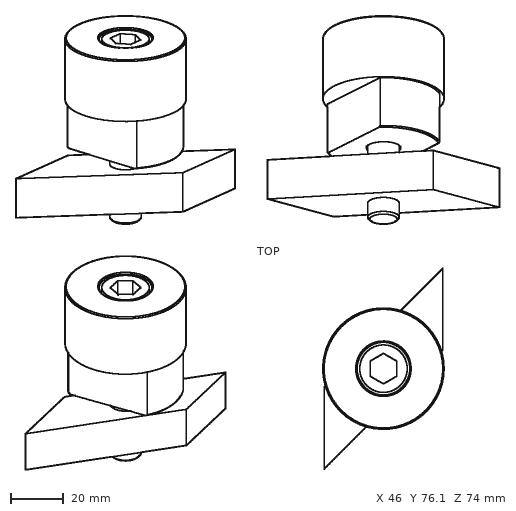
import cadquery as cq
import math

head_height = 25.0
neck_height = 20.0
overall_height = 74.0
nut_top_depth = 51.5
nut_height = 16.0

head_diameter = 46.0
neck_diameter = 44.0
neck_flat_width = 28.0
body_height = head_height + neck_height
edge_chamfer = 0.5

thread_diameter = 12.0
thread_end_chamfer = 0.8
screw_head_diameter = 18.0
screw_head_height = 12.0
screw_head_recess = 0.5
socket_width = 10.0
socket_corner_diameter = socket_width / math.cos(math.pi / 6)
socket_depth = 8.0
socket_tip_angle = 120.0

counterbore_diameter = 20.0
counterbore_depth = screw_head_recess + screw_head_height
clearance_diameter = 13.0

nut_length = 45.0
nut_bar_width = 22.0
nut_skew_angle = 45.0


def disc(diameter, top_z, height):
    """Cylinder on the Z axis that hangs down from top_z."""
    return cq.Workplane("XY").workplane(offset=top_z).circle(diameter / 2).extrude(-height)


def make_clamp_body():
    head = disc(head_diameter, 0, head_height).faces(">Z").edges().chamfer(edge_chamfer)
    neck = disc(neck_diameter, -head_height, neck_height).faces("<Z").edges().chamfer(edge_chamfer)
    flats = (
        cq.Workplane("XY")
        .workplane(offset=-head_height)
        .rect(head_diameter, neck_flat_width)
        .extrude(-neck_height)
    )
    body = head.union(neck.intersect(flats))

    counterbore = disc(counterbore_diameter, 0, counterbore_depth)
    clearance = disc(clearance_diameter, 0, body_height)
    countersink = cq.Workplane("XY").add(
        cq.Solid.makeCone(
            counterbore_diameter / 2 + edge_chamfer,
            counterbore_diameter / 2,
            edge_chamfer,
            dir=cq.Vector(0, 0, -1),
        )
    )
    return body.cut(counterbore).cut(clearance).cut(countersink)


def make_socket():
    """Hexagonal recess with corners along Y and a conical floor."""
    corner_radius = socket_corner_diameter / 2
    tip_depth = corner_radius / math.tan(math.radians(socket_tip_angle / 2))
    hexagon = (
        cq.Workplane("XY")
        .workplane(offset=-screw_head_recess)
        .transformed(rotate=(0, 0, 90))
        .polygon(6, socket_corner_diameter)
        .extrude(-(socket_depth + tip_depth))
    )
    pointed_drill = (
        cq.Workplane("XZ")
        .moveTo(0, -screw_head_recess)
        .lineTo(corner_radius, -screw_head_recess)
        .lineTo(corner_radius, -screw_head_recess - socket_depth)
        .lineTo(0, -screw_head_recess - socket_depth - tip_depth)
        .close()
        .revolve()
    )
    return hexagon.intersect(pointed_drill)


def make_nut_block():
    half_length = nut_length / 2
    skew = math.radians(nut_skew_angle)
    skew_rise = half_length * math.tan(skew)
    half_end_face = nut_bar_width / 2 / math.cos(skew)
    return (
        cq.Workplane("XY")
        .workplane(offset=-nut_top_depth)
        .polyline([
            (-half_length, -skew_rise - half_end_face),
            (half_length, skew_rise - half_end_face),
            (half_length, skew_rise + half_end_face),
            (-half_length, -skew_rise + half_end_face),
        ])
        .close()
        .extrude(-nut_height)
    )


def make_screw_with_nut():
    head = disc(screw_head_diameter, -screw_head_recess, screw_head_height)
    shank_height = overall_height - screw_head_recess
    shank = disc(thread_diameter, -screw_head_recess, shank_height)
    shank = shank.faces("<Z").edges().chamfer(thread_end_chamfer)
    return head.union(shank).cut(make_socket()).union(make_nut_block())


clamp_body = make_clamp_body()
screw_with_nut = make_screw_with_nut()

result = cq.Compound.makeCompound([clamp_body.val(), screw_with_nut.val()])